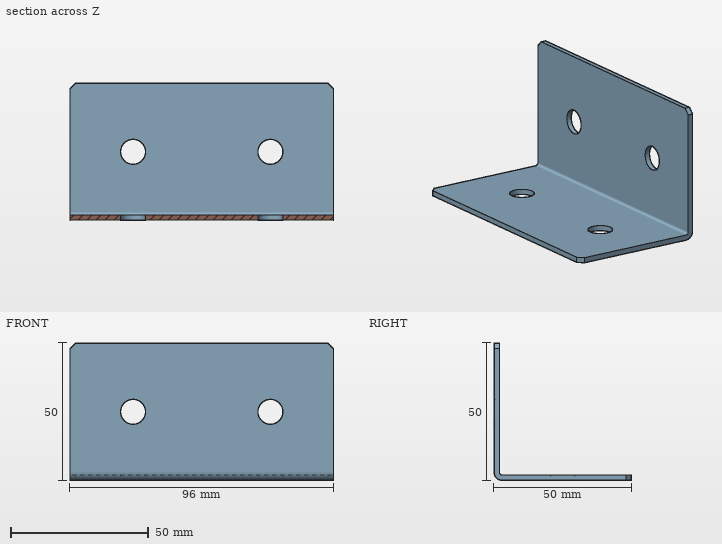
import cadquery as cq

length = 96.0
leg = 50.0
thickness = 2.0

inner_bend_radius = 1.0
outer_bend_radius = inner_bend_radius + thickness

corner_chamfer = 2.0
hole_diameter = 9.0
hole_spacing = 50.0
hole_offset = leg / 2
hole_positions = [(-hole_spacing / 2, 0), (hole_spacing / 2, 0)]


def bent_sheet():
    """L-shaped sheet: one leg in the XY plane, one in the XZ plane, bent about X."""
    profile = (
        cq.Workplane("YZ", origin=(-length / 2, 0, 0))
        .moveTo(outer_bend_radius, 0)
        .lineTo(leg, 0)
        .lineTo(leg, thickness)
        .lineTo(outer_bend_radius, thickness)
        .radiusArc((thickness, outer_bend_radius), inner_bend_radius)
        .lineTo(thickness, leg)
        .lineTo(0, leg)
        .lineTo(0, outer_bend_radius)
        .radiusArc((outer_bend_radius, 0), -outer_bend_radius)
        .close()
    )
    return profile.extrude(length)


def chamfer_free_corners(sheet):
    """Chamfer the two free corners of each leg."""
    sheet = sheet.faces(">Z").edges("|Y").chamfer(corner_chamfer)
    return sheet.faces(">Y").edges("|Z").chamfer(corner_chamfer)


def hole_pair(plane_name, center, depth):
    """Pair of cylinders that cut the holes through one leg."""
    return (
        cq.Workplane(plane_name, origin=center)
        .pushPoints(hole_positions)
        .circle(hole_diameter / 2)
        .extrude(depth)
    )


bottom_holes = hole_pair("XY", (0, hole_offset, 0), thickness)
upright_holes = hole_pair("XZ", (0, 0, hole_offset), -thickness)

result = chamfer_free_corners(bent_sheet()).cut(bottom_holes).cut(upright_holes)